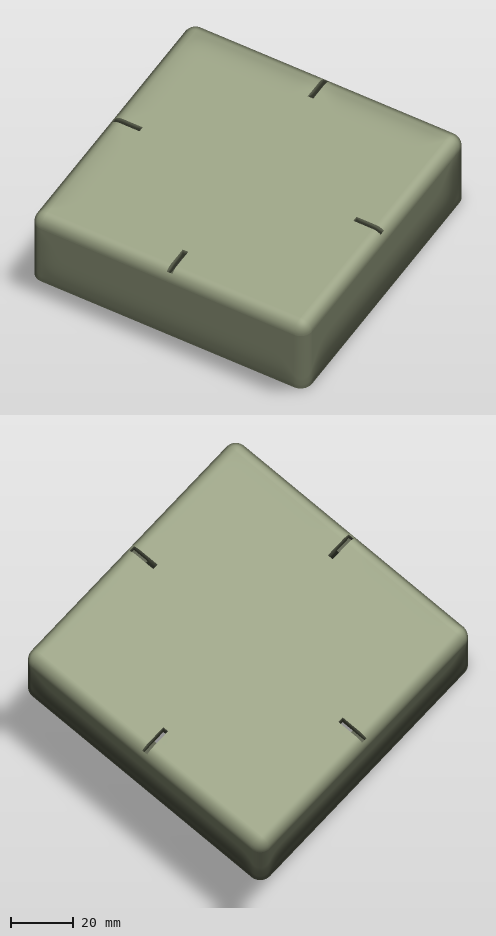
import cadquery as cq

side = 102.0
height = 28.2
edge_radius = 4.2
wall = 7.1
top_thickness = 4.1

slot_width = 2.0
slot_outer_end = 1.3
slot_inner_end = 11.4
slot_count = 4

cavity_side = side - 2 * wall
slot_floor = height - top_thickness


def upright_box(length, width, tall):
    """Box centred on the Z axis and standing on Z = 0."""
    return cq.Workplane("XY").box(length, width, tall, centered=(True, True, False))


def cover_shell():
    block = upright_box(side, side, height).edges("|Z").fillet(edge_radius)
    rounded = block.faces(">Z").edges().fillet(edge_radius)
    return rounded.cut(upright_box(cavity_side, cavity_side, slot_floor))


def edge_slot():
    """Cutter for the slot at the +X edge."""
    slot_length = slot_inner_end - slot_outer_end
    slot_center = side / 2 - (slot_outer_end + slot_inner_end) / 2
    return upright_box(slot_length, slot_width, top_thickness).translate((slot_center, 0, slot_floor))


result = cover_shell()
for index in range(slot_count):
    angle = index * 360 / slot_count
    result = result.cut(edge_slot().rotate((0, 0, 0), (0, 0, 1), angle))